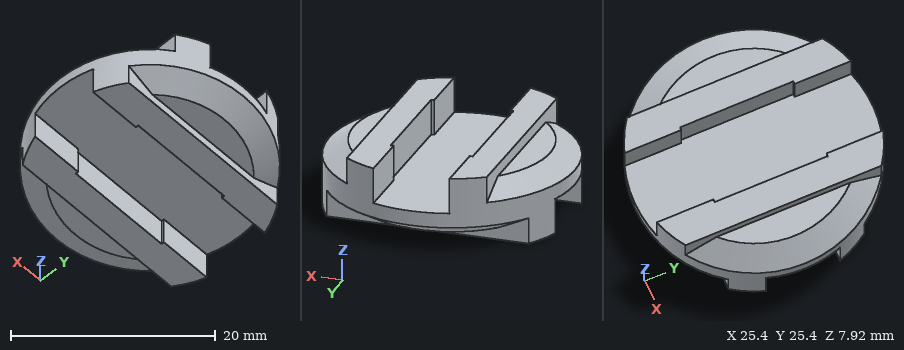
import cadquery as cq

diameter = 25.4
height = 7.92
web_thickness = 0.55
slot_width = 7.87
rail_outer_width = 14.48
relief_width = 8.48
relief_length = 12.05
shoulder_diameter = 20.32
shoulder_height = 2.75
rim_height = 1.25

radius = diameter / 2
half_height = height / 2
slot_floor = web_thickness / 2


def box_above(length_x, length_y, bottom, top):
    """Centred box spanning the given heights."""
    return (
        cq.Workplane("XY")
        .workplane(offset=bottom)
        .rect(length_x, length_y)
        .extrude(top - bottom)
    )


def upper_half():
    """Half disc with rails along Y, resting on the middle plane."""
    shoulders = (
        cq.Workplane("XZ")
        .moveTo(0, 0)
        .lineTo(radius, 0)
        .lineTo(radius, rim_height)
        .lineTo(shoulder_diameter / 2, shoulder_height)
        .lineTo(0, shoulder_height)
        .close()
        .revolve(360, (0, 0), (0, 1))
    )
    rails = (
        cq.Workplane("XY")
        .circle(radius)
        .extrude(half_height)
        .intersect(box_above(rail_outer_width, diameter, 0, half_height))
    )
    slot = box_above(slot_width, diameter, slot_floor, half_height)
    relief = box_above(relief_width, relief_length, slot_floor, half_height)
    return shoulders.union(rails).cut(slot).cut(relief)


upper = upper_half()
lower = upper.rotate((0, 0, 0), (1, 0, 0), 180).rotate((0, 0, 0), (0, 0, 1), 90)
result = upper.union(lower)